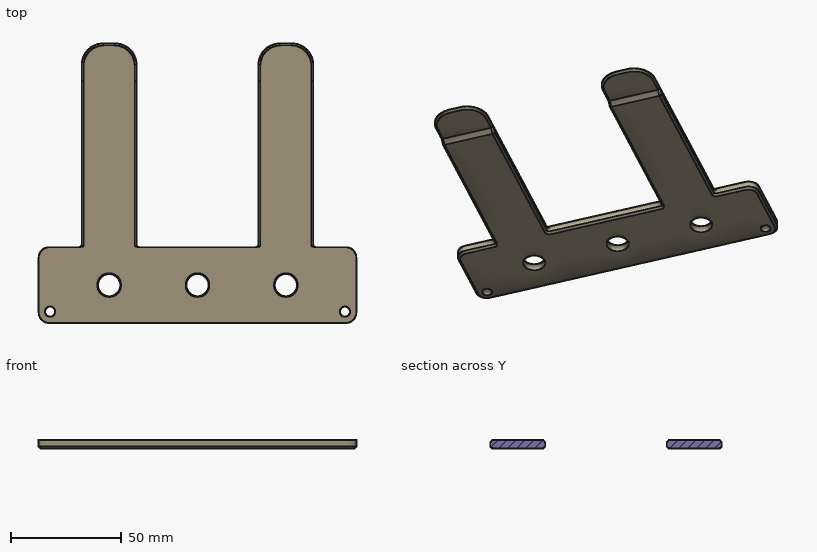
import cadquery as cq

plate_width = 144.0
plate_depth = 34.5
thickness = 4.0
corner_radius = 5.0
bevel = 1.0
bevel_angle = 45.0

total_depth = 126.75
arm_width = 25.0
arm_spacing = 80.0
tip_radius = 10.0
root_radius = 0.9

tip_thickness = 2.0
ramp_length_from_tip = 19.0
ramp_corner_chamfer = 1.0

large_hole_diameter = 10.0
large_hole_chamfer = 0.4
countersink_angle = 90.0
large_hole_y = plate_depth / 2
small_hole_diameter = 4.5
small_hole_inset = 5.25

margin = 0.1

tip_bottom = thickness - tip_thickness
tip_edge_z = thickness - bevel
ramp_foot_y = total_depth - ramp_length_from_tip
arm_overlap_y = plate_depth / 2
arm_centers = (-arm_spacing / 2, arm_spacing / 2)


def make_plate():
    """Plate with round corners, not yet bevelled."""
    plate = cq.Workplane("XY").box(plate_width, plate_depth, thickness, centered=(True, False, False))
    return plate.edges("|Z").fillet(corner_radius)


def make_rail(x_center):
    """Lower part of an arm, ending in a ramp that rises towards the tip."""
    rail = (
        cq.Workplane("YZ", origin=(x_center, 0, 0))
        .moveTo(arm_overlap_y, 0)
        .lineTo(ramp_foot_y, 0)
        .lineTo(ramp_foot_y + tip_edge_z, tip_edge_z)
        .lineTo(arm_overlap_y, tip_edge_z)
        .close()
        .extrude(arm_width / 2, both=True)
    )
    return rail.faces(">Y").edges("not |X").chamfer(ramp_corner_chamfer)


def make_rim_layer(x_center, height):
    """Round-tipped arm layer that starts at the rim and narrows along the bevel over the signed height."""
    half_width = arm_width / 2
    shoulder_y = total_depth - tip_radius
    return (
        cq.Workplane("XY", origin=(x_center, 0, tip_edge_z))
        .moveTo(-half_width, arm_overlap_y)
        .lineTo(-half_width, shoulder_y)
        .radiusArc((tip_radius - half_width, total_depth), tip_radius)
        .lineTo(half_width - tip_radius, total_depth)
        .radiusArc((half_width, shoulder_y), tip_radius)
        .lineTo(half_width, arm_overlap_y)
        .close()
        .extrude(height, taper=bevel_angle)
    )


def root_zone(x_side):
    """Selector for the edges in the inside corner where an arm side meets the plate."""
    return cq.selectors.BoxSelector(
        (x_side - bevel, plate_depth - margin, margin),
        (x_side + bevel, plate_depth + margin, thickness - margin),
    )


def round_roots(body):
    """Small fillets where the arm sides and their top bevels meet the plate."""
    for x in arm_centers:
        for side in (-1, 1):
            body = body.edges(root_zone(x + side * arm_width / 2)).fillet(root_radius)
    return body


def bevel_underside(body):
    """Bevel along the bottom edges of plate and rails, stopping at the ramps."""
    before_ramps = cq.selectors.BoxSelector(
        (-plate_width, -margin, -margin),
        (plate_width, ramp_foot_y - 2 * ramp_corner_chamfer, margin),
    )
    return body.faces("<Z").edges(before_ramps).chamfer(bevel)


def hole_centers(body, points):
    """Workplane on the top face with the given hole centres on its stack."""
    return body.faces(">Z").workplane(origin=(0, 0, thickness)).pushPoints(points)


def drill_large_holes(body):
    """Row of three through holes with a chamfered top edge: one at the middle, one in line with each arm."""
    points = [(x, large_hole_y) for x in (*arm_centers, 0)]
    rim_diameter = large_hole_diameter + 2 * large_hole_chamfer
    return hole_centers(body, points).cskHole(large_hole_diameter, rim_diameter, countersink_angle)


def drill_small_holes(body):
    """Through holes in the two front corners."""
    x = plate_width / 2 - small_hole_inset
    points = [(-x, small_hole_inset), (x, small_hole_inset)]
    return hole_centers(body, points).hole(small_hole_diameter)


body = make_plate()
for x in arm_centers:
    body = body.union(make_rail(x)).union(make_rim_layer(x, bevel))
body = round_roots(body)
body = bevel_underside(body)
for x in arm_centers:
    body = body.union(make_rim_layer(x, tip_bottom - tip_edge_z))
body = drill_large_holes(body)
body = drill_small_holes(body)

result = body